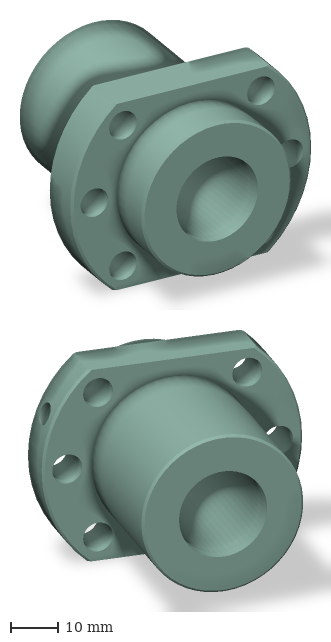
import cadquery as cq

length = 54.0
body_diameter = 36.0
bore_diameter = 19.6
edge_chamfer = 0.5

flange_diameter = 58.0
flange_height = 44.0
flange_start = 33.0
flange_thickness = 10.0

mounting_diameter = 6.6
mounting_circle_radius = 23.5
mounting_angles = (-45, 0, 45, 135, 180, 225)
oil_diameter = 5.0
oil_angle = 22.5


def chamfered_disc(diameter, thickness, start):
    """Disc along X with both rims chamfered."""
    disc = cq.Workplane("YZ", origin=(start, 0, 0)).circle(diameter / 2).extrude(thickness)
    return disc.edges().chamfer(edge_chamfer)


def make_flange():
    disc = chamfered_disc(flange_diameter, flange_thickness, flange_start)
    flats = (
        cq.Workplane("YZ", origin=(flange_start, 0, 0))
        .rect(flange_diameter, flange_height)
        .extrude(flange_thickness)
    )
    return disc.intersect(flats)


def mounting_holes():
    hole = (
        cq.Workplane("YZ", origin=(flange_start, mounting_circle_radius, 0))
        .circle(mounting_diameter / 2)
        .extrude(flange_thickness)
    )
    holes = cq.Workplane("YZ")
    for angle in mounting_angles:
        holes = holes.add(hole.rotate((0, 0, 0), (1, 0, 0), angle))
    return holes.combine()


def oil_hole():
    """Radial hole from the flange rim through the wall into the bore."""
    flange_middle = flange_start + flange_thickness / 2
    drill = (
        cq.Workplane("XZ", origin=(flange_middle, 0, 0))
        .circle(oil_diameter / 2)
        .extrude(-flange_diameter / 2)
    )
    return drill.rotate((0, 0, 0), (1, 0, 0), oil_angle)


def bore():
    return cq.Workplane("YZ").circle(bore_diameter / 2).extrude(length)


body = chamfered_disc(body_diameter, length, 0).union(make_flange())
result = body.cut(bore()).cut(mounting_holes()).cut(oil_hole())